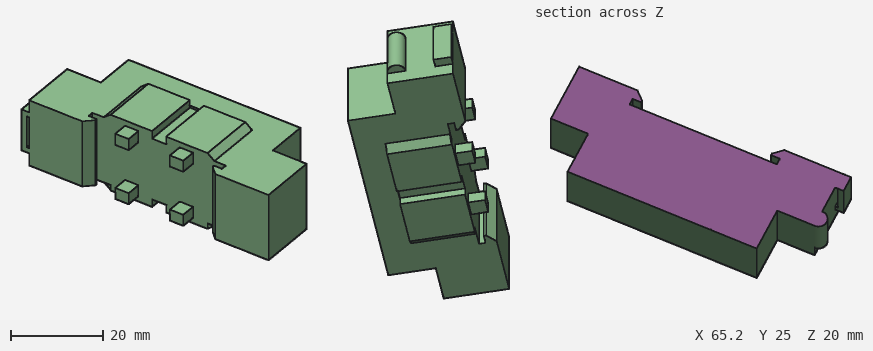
import cadquery as cq

TOTAL_LENGTH = 65.2
TOTAL_DEPTH = 25.0
TOTAL_HEIGHT = 20.0

LATCH_PROJECTION = 2.0
LATCH_HEIGHT = 10.8
TAB_DEPTH = 3.9
SLOT_WIDTH = 0.6
SLOT_HEIGHT = 8.1

BODY_LENGTH = TOTAL_LENGTH - LATCH_PROJECTION
BODY_HEIGHT = 17.2
TALL_LENGTH = 45.4
SHOULDER_Y = 14.5

RECESS_LENGTH = 35.15
RECESS_Y = 3.9
HOOK_REACH = 2.1
HOOK_BACK_Y = 2.5
HOOK_TIP_Y = 1.95

COVER_BASE_LENGTH = 29.2
COVER_FLAT_LENGTH = 25.55
COVER_END_Y = 18.25
RELIEF_DEPTH = 0.1
GROOVE_WIDTH = 3.7
GROOVE_FLOOR_INSET = 0.6

PIN_WIDTH = 3.5
PIN_HEIGHT = 2.95
PIN_SPACING = 14.4
PIN_TIP_Y = 0.2

BODY_END_X = -BODY_LENGTH / 2
BODY_TOP_Z = BODY_HEIGHT / 2
COVER_TOP_Z = TOTAL_HEIGHT / 2


def box(x_range, y_range, z_range):
    """Box spanning the given (low, high) limits on each axis."""
    lows, highs = zip(x_range, y_range, z_range)
    sizes = [high - low for low, high in zip(lows, highs)]
    return cq.Workplane("XY").box(*sizes, centered=False).translate(lows)


def centered(size):
    """Limits of a span of the given size centered on zero."""
    return -size / 2, size / 2


def make_body():
    """Stepped block with a hooked rail recess in its -Y side."""
    recess_x = RECESS_LENGTH / 2
    tip_x = recess_x - HOOK_REACH
    half_outline = [
        (0, TOTAL_DEPTH),
        (TALL_LENGTH / 2, TOTAL_DEPTH),
        (TALL_LENGTH / 2, SHOULDER_Y),
        (BODY_LENGTH / 2, SHOULDER_Y),
        (BODY_LENGTH / 2, 0),
        (recess_x, 0),
        (tip_x, HOOK_TIP_Y),
        (tip_x, HOOK_BACK_Y),
        (recess_x, HOOK_BACK_Y),
        (recess_x, RECESS_Y),
        (0, RECESS_Y),
    ]
    half = cq.Workplane("XY").polyline(half_outline).close().extrude(BODY_TOP_Z, both=True)
    return half.union(half.mirror("YZ"))


def make_covers():
    """Sloped-end covers that run through the body from -Z to +Z."""
    base_x = COVER_BASE_LENGTH / 2
    flat_x = COVER_FLAT_LENGTH / 2
    outline = [
        (-base_x, BODY_TOP_Z),
        (-flat_x, COVER_TOP_Z),
        (flat_x, COVER_TOP_Z),
        (base_x, BODY_TOP_Z),
        (base_x, -BODY_TOP_Z),
        (flat_x, -COVER_TOP_Z),
        (-flat_x, -COVER_TOP_Z),
        (-base_x, -BODY_TOP_Z),
    ]
    covers = cq.Workplane("XZ").polyline(outline).close().extrude(RECESS_Y - COVER_END_Y)
    return covers.translate((0, RECESS_Y, 0))


def make_end_reliefs():
    """Cutters that set the sloped ends of the -Z cover back from the recess."""
    relief_y = (RECESS_Y, RECESS_Y + RELIEF_DEPTH)
    relief_z = (-COVER_TOP_Z, -BODY_TOP_Z)
    right = box((COVER_FLAT_LENGTH / 2, COVER_BASE_LENGTH / 2), relief_y, relief_z)
    return right.union(right.mirror("YZ"))


def make_grooves():
    """Cutters for the grooves that split each cover and dip into the body."""
    floor_z = BODY_TOP_Z - GROOVE_FLOOR_INSET
    upper = box(centered(GROOVE_WIDTH), (RECESS_Y, COVER_END_Y), (floor_z, COVER_TOP_Z))
    return upper.union(upper.mirror("XY"))


def make_pins():
    """Four pins, flush with the top and bottom of the body."""
    offset_x = PIN_SPACING / 2
    offset_z = BODY_TOP_Z - PIN_HEIGHT / 2
    pin = box(centered(PIN_WIDTH), (PIN_TIP_Y, RECESS_Y), centered(PIN_HEIGHT))
    pins = cq.Workplane("XY")
    for x in (-offset_x, offset_x):
        for z in (-offset_z, offset_z):
            pins = pins.add(pin.translate((x, 0, z)))
    return pins.combine()


def make_latch():
    """Half-round rib at the shoulder and slotted tab at the foot."""
    rib = (
        cq.Workplane("XY")
        .moveTo(BODY_END_X, SHOULDER_Y)
        .threePointArc(
            (BODY_END_X - LATCH_PROJECTION, SHOULDER_Y - LATCH_PROJECTION),
            (BODY_END_X, SHOULDER_Y - 2 * LATCH_PROJECTION),
        )
        .close()
        .extrude(LATCH_HEIGHT / 2, both=True)
    )
    tab_x = (BODY_END_X - LATCH_PROJECTION, BODY_END_X)
    slot_x = (BODY_END_X - SLOT_WIDTH, BODY_END_X)
    tab_y = (0, TAB_DEPTH)
    tab = box(tab_x, tab_y, centered(LATCH_HEIGHT))
    slot = box(slot_x, tab_y, centered(SLOT_HEIGHT))
    return rib.union(tab.cut(slot))


result = (
    make_body()
    .union(make_covers())
    .cut(make_end_reliefs())
    .cut(make_grooves())
    .union(make_pins())
    .union(make_latch())
)